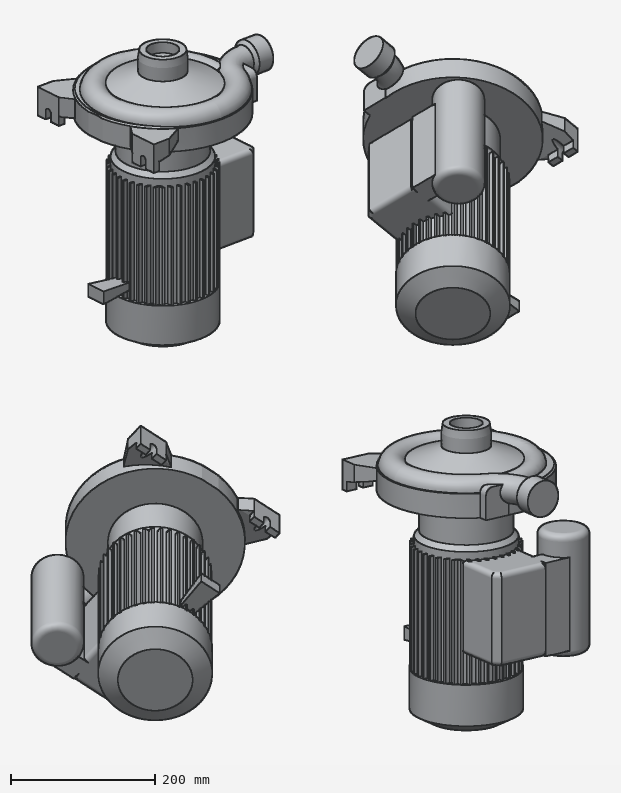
import cadquery as cq
import math


COWL_BOTTOM_RADIUS = 52.0
MOTOR_RADIUS = 79.2
FIN_TIP_RADIUS = 79.0
FIN_ROOT_RADIUS = 72.7
COWL_CHAMFER_TOP = 15.5
FIN_BOTTOM = 75.8
FIN_TOP = 257.5
FIN_ROOT_EMBED = 4.5
FIN_THICKNESS = 2.5
FINS_PER_SIDE = 10
FIN_PITCH_ANGLE = 90 / FINS_PER_SIDE
COLLAR_CONE_BOTTOM = 268.5
COLLAR_CONE_TOP = 276.3
NECK_RADIUS = 66.0

PLATE_RADIUS = 124.5
PLATE_BOTTOM = 335.0
PLATE_TOP = 373.2
PLATE_CHAMFER = 2.5
PLATE_FACE = -124.0
CONE_BASE_RADIUS = 86.5
CONE_BASE = 380.5
INLET_RADIUS = 34.5
INLET_BOTTOM = 400.0
INLET_TAPER_BOTTOM = 421.0
INLET_RIM_RADIUS = 33.0
TOTAL_HEIGHT = 433.0
INLET_BORE_RADIUS = 23.0
INLET_BORE_DEPTH = 16.5

TUBE_RADIUS = 20.5
TUBE_Z = 370.5
VOLUTE_RIGHT = 103.5
VOLUTE_LEFT = 93.5
TAPER_ARC_RADIUS = 93.5
TAPER_END_RADIUS = 14.5
TAPER_TAIL_LENGTH = 19.5
BEND_START_ANGLE = 68.0
OUTLET_RADIUS = 26.5
OUTLET_CONE_START = 150.3
OUTLET_START = 155.5
OUTLET_END = 181.0

FOOT_TOP = 370.0
FOOT_BOTTOM = 326.0
FOOT_INNER = 77.5
FOOT_OUTER = 122.5
FOOT_SIDE_REAR_Y = -95.3
FOOT_OUTER_SHOULDER = (106.5, -65.0)
FOOT_INNER_SHOULDER = (59.0, -111.3)
FOOT_ROOT_X = 43.5
FOOT_ROOT_Y = -86.5
FOOT_LIP_THICKNESS = 10.5
FOOT_WEB_FRONT_Z = 340.5
FOOT_WEB_REAR_Z = 351.5
FOOT_WEB_REAR_Y = -63.5
FOOT_SLOT_X = 100.0
FOOT_SLOT_WIDTH = 11.0
FOOT_SLOT_TOP = 344.2

CAPACITOR_X = -94.5
CAPACITOR_Y = 99.5
CAPACITOR_RADIUS = 36.5
CAPACITOR_BOTTOM = 109.0
CAPACITOR_TOP = 289.2
CAPACITOR_FILLET = 10.0

BOX_HALF_WIDTH = 47.5
BOX_FRONT = 34.5
BOX_BACK = 135.0
BOX_BOTTOM = 119.5
BOX_TOP = 256.5
BOX_CORNER_CHAMFER = 10.0
BOX_FILLET = 8.0
BRACKET_BACK = 133.5
BRACKET_RIGHT = -39.0

PAD_LEFT = 17.5
PAD_RIGHT = 56.7
PAD_FRONT = 95.3
PAD_BACK = 124.3
PAD_TOP = 382.0
PAD_FILLET = 11.3

LEVER_X = 0.5
LEVER_Z = 95.3
LEVER_TIP_WIDTH = 32.5
LEVER_TIP_HEIGHT = 20.0
LEVER_ROOT_WIDTH = 23.0
LEVER_ROOT_HEIGHT = 11.3
LEVER_ROOT_Y = -69.3


def box_between(x0, x1, y0, y1, z0, z1):
    return cq.Workplane("XY").box(x1 - x0, y1 - y0, z1 - z0, centered=False).translate((x0, y0, z0))


def turned_body():
    """Motor, neck, back plate, front cone and inlet as one turned shape."""
    profile = [
        (0, 0),
        (COWL_BOTTOM_RADIUS, 0),
        (MOTOR_RADIUS, COWL_CHAMFER_TOP),
        (MOTOR_RADIUS, FIN_BOTTOM),
        (FIN_ROOT_RADIUS, FIN_BOTTOM),
        (FIN_ROOT_RADIUS, COLLAR_CONE_BOTTOM),
        (NECK_RADIUS, COLLAR_CONE_TOP),
        (NECK_RADIUS, PLATE_BOTTOM),
        (PLATE_RADIUS, PLATE_BOTTOM),
        (PLATE_RADIUS, PLATE_TOP - PLATE_CHAMFER),
        (PLATE_RADIUS - PLATE_CHAMFER, PLATE_TOP),
        (CONE_BASE_RADIUS, PLATE_TOP),
        (CONE_BASE_RADIUS, CONE_BASE),
        (INLET_RADIUS, INLET_BOTTOM),
        (INLET_RADIUS, INLET_TAPER_BOTTOM),
        (INLET_RIM_RADIUS, TOTAL_HEIGHT),
        (0, TOTAL_HEIGHT),
    ]
    body = cq.Workplane("XZ").polyline(profile).close().revolve(360, (0, 0), (0, 1))
    beyond_flat = box_between(-PLATE_RADIUS, PLATE_RADIUS, -PLATE_RADIUS, PLATE_FACE, PLATE_BOTTOM, PLATE_TOP)
    return body.cut(beyond_flat)


def motor_fins():
    """Four groups of fins; the fins of one group are parallel, their tips equally spaced in angle."""
    height = FIN_TOP - FIN_BOTTOM
    root = FIN_ROOT_RADIUS * math.cos(math.pi / 4) - FIN_ROOT_EMBED
    group = cq.Workplane("XY").workplane(offset=FIN_BOTTOM)
    for i in range(FINS_PER_SIDE):
        angle = math.radians((i - (FINS_PER_SIDE - 1) / 2) * FIN_PITCH_ANGLE)
        offset = FIN_TIP_RADIUS * math.sin(angle)
        group = group.moveTo(offset, -(root + FIN_TIP_RADIUS) / 2).rect(FIN_THICKNESS, FIN_TIP_RADIUS - root)
    group = group.extrude(height)
    tip_cylinder = cq.Workplane("XY").workplane(offset=FIN_BOTTOM).circle(FIN_TIP_RADIUS).extrude(height)
    group = group.intersect(tip_cylinder)
    fins = group
    for turn in (90, 180, 270):
        fins = fins.union(group.rotate((0, 0, 0), (0, 0, 1), turn))
    return fins


def volute():
    """Constant tube round the front and right, then a narrowing quarter that ends under the pipe."""
    right = (VOLUTE_RIGHT, 0)
    left = (-VOLUTE_LEFT, 0)
    front = ((VOLUTE_RIGHT - VOLUTE_LEFT) / 2, -(VOLUTE_RIGHT + VOLUTE_LEFT) / 2)
    plane = cq.Workplane("XY").workplane(offset=TUBE_Z)

    front_path = plane.moveTo(*left).threePointArc(front, right)
    front_tube = cq.Workplane("XZ", origin=(*left, TUBE_Z)).circle(TUBE_RADIUS).sweep(front_path)

    mid_angle = math.radians(BEND_START_ANGLE / 2)
    end_angle = math.radians(BEND_START_ANGLE)
    middle = (VOLUTE_RIGHT * math.cos(mid_angle), VOLUTE_RIGHT * math.sin(mid_angle))
    joint = (VOLUTE_RIGHT * math.cos(end_angle), VOLUTE_RIGHT * math.sin(end_angle))
    bend_radius = joint[0] / (1 - math.cos(end_angle))
    bend_y = (VOLUTE_RIGHT + bend_radius) * math.sin(end_angle)
    bend_middle = (bend_radius * (1 - math.cos(mid_angle)), bend_y - bend_radius * math.sin(mid_angle))
    outlet_path = plane.moveTo(*right).threePointArc(middle, joint).threePointArc(bend_middle, (0, bend_y))
    outlet_tube = cq.Workplane("XZ", origin=(*right, TUBE_Z)).circle(TUBE_RADIUS).sweep(outlet_path)

    taper_x = TAPER_ARC_RADIUS - VOLUTE_LEFT
    half = TAPER_ARC_RADIUS * math.sin(math.pi / 4)
    taper_end = (taper_x, TAPER_ARC_RADIUS)
    taper_path = plane.moveTo(*left).threePointArc((taper_x - half, half), taper_end)
    taper_end_plane = cq.Workplane("YZ", origin=(*taper_end, TUBE_Z))
    narrow = taper_end_plane.circle(TAPER_END_RADIUS)
    taper_tube = (
        cq.Workplane("XZ", origin=(*left, TUBE_Z))
        .circle(TUBE_RADIUS)
        .add(narrow)
        .toPending()
        .sweep(taper_path, multisection=True)
    )
    taper_tail = taper_end_plane.circle(TAPER_END_RADIUS).extrude(TAPER_TAIL_LENGTH)
    return front_tube.union(outlet_tube).union(taper_tube).union(taper_tail)


def outlet_collar():
    profile = [
        (0, OUTLET_CONE_START),
        (TUBE_RADIUS, OUTLET_CONE_START),
        (OUTLET_RADIUS, OUTLET_START),
        (OUTLET_RADIUS, OUTLET_END),
        (0, OUTLET_END),
    ]
    collar = cq.Workplane("XY").polyline(profile).close().revolve(360, (0, 0), (0, 1))
    return collar.translate((0, 0, TUBE_Z))


def foot():
    """Foot at +X: a web with a sloping underside, closed in front by a deeper lip with an open slot."""
    plan = [
        (FOOT_ROOT_X, FOOT_ROOT_Y),
        FOOT_INNER_SHOULDER,
        (FOOT_INNER, PLATE_FACE),
        (FOOT_OUTER, PLATE_FACE),
        (FOOT_OUTER, FOOT_SIDE_REAR_Y),
        FOOT_OUTER_SHOULDER,
    ]
    lip_rear = PLATE_FACE + FOOT_LIP_THICKNESS
    side = [
        (PLATE_FACE, FOOT_WEB_FRONT_Z),
        (lip_rear, FOOT_WEB_FRONT_Z),
        (FOOT_WEB_REAR_Y, FOOT_WEB_REAR_Z),
        (FOOT_WEB_REAR_Y, FOOT_TOP),
        (PLATE_FACE, FOOT_TOP),
    ]
    column = cq.Workplane("XY").polyline(plan).close().extrude(FOOT_TOP)
    web = column.intersect(cq.Workplane("YZ").polyline(side).close().extrude(PLATE_RADIUS))
    lip = box_between(FOOT_INNER, FOOT_OUTER, PLATE_FACE, lip_rear, FOOT_BOTTOM, FOOT_TOP)
    half = FOOT_SLOT_WIDTH / 2
    slot = (
        cq.Workplane("XZ", origin=(FOOT_SLOT_X, FOOT_SIDE_REAR_Y, 0))
        .moveTo(-half, FOOT_BOTTOM)
        .lineTo(-half, FOOT_SLOT_TOP - half)
        .threePointArc((0, FOOT_SLOT_TOP), (half, FOOT_SLOT_TOP - half))
        .lineTo(half, FOOT_BOTTOM)
        .close()
        .extrude(FOOT_SIDE_REAR_Y - PLATE_FACE)
    )
    return web.union(lip).cut(slot)


def capacitor():
    can = cq.Workplane("XY").circle(CAPACITOR_RADIUS).extrude(CAPACITOR_TOP - CAPACITOR_BOTTOM)
    can = can.edges("%CIRCLE").fillet(CAPACITOR_FILLET)
    return can.translate((CAPACITOR_X, CAPACITOR_Y, CAPACITOR_BOTTOM))


def terminal_box():
    box = box_between(-BOX_HALF_WIDTH, BOX_HALF_WIDTH, BOX_FRONT, BOX_BACK, BOX_BOTTOM, BOX_TOP)
    box = box.edges("|Z and >Y").chamfer(BOX_CORNER_CHAMFER)
    box = box.faces("<Z or >Z").edges("not <Y").fillet(BOX_FILLET)
    bracket = box_between(CAPACITOR_X, BRACKET_RIGHT, CAPACITOR_Y, BRACKET_BACK, BOX_BOTTOM, BOX_TOP)
    return box.union(bracket)


def casing_pad():
    pad = box_between(PAD_LEFT, PAD_RIGHT, PAD_FRONT, PAD_BACK, PLATE_BOTTOM, PAD_TOP)
    return pad.edges(">X and >Z").fillet(PAD_FILLET)


def lever():
    return (
        cq.Workplane("XZ", origin=(LEVER_X, LEVER_ROOT_Y, LEVER_Z))
        .rect(LEVER_ROOT_WIDTH, LEVER_ROOT_HEIGHT)
        .workplane(offset=LEVER_ROOT_Y - PLATE_FACE)
        .rect(LEVER_TIP_WIDTH, LEVER_TIP_HEIGHT)
        .loft()
    )


right_foot = foot()
inlet_bore = (
    cq.Workplane("XY")
    .workplane(offset=TOTAL_HEIGHT - INLET_BORE_DEPTH)
    .circle(INLET_BORE_RADIUS)
    .extrude(INLET_BORE_DEPTH)
)

result = (
    turned_body()
    .union(motor_fins())
    .union(volute())
    .union(outlet_collar())
    .union(right_foot)
    .union(right_foot.mirror("YZ"))
    .union(capacitor())
    .union(terminal_box())
    .union(casing_pad())
    .union(lever())
    .cut(inlet_bore)
)